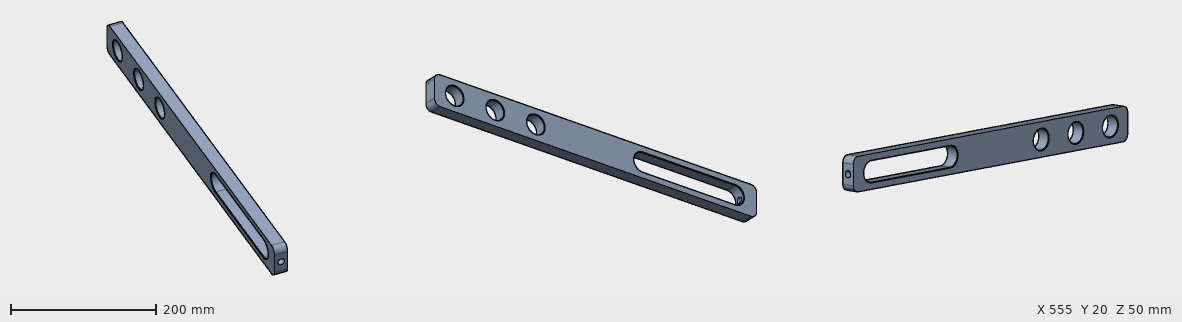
import cadquery as cq

length = 555.0
thickness = 20.0
height = 50.0
corner_radius = 10.0

hole_diameter = 30.0
hole_count = 3
first_hole_offset = 35.0
hole_pitch = 70.0

slot_width = hole_diameter
slot_length = 188.5
slot_end_margin = 22.0

rim_chamfer = 1.0

end_hole_diameter = 10.0

right_end = length / 2
slot_right = right_end - slot_end_margin
slot_center = slot_right - slot_length / 2


def make_bar():
    bar = cq.Workplane("XY").box(length, thickness, height)
    return bar.edges("|Y").fillet(corner_radius)


def make_round_holes():
    centers = [(-length / 2 + first_hole_offset + i * hole_pitch, 0) for i in range(hole_count)]
    profile = cq.Workplane("XZ").pushPoints(centers).circle(hole_diameter / 2)
    return profile.extrude(thickness / 2, both=True)


def make_slot():
    profile = cq.Workplane("XZ").center(slot_center, 0).slot2D(slot_length, slot_width)
    return profile.extrude(thickness / 2, both=True)


def chamfer_rims(bar):
    rims = [
        edge
        for face in bar.faces("<Y or >Y").vals()
        for wire in face.innerWires()
        for edge in wire.Edges()
    ]
    return bar.newObject(rims).chamfer(rim_chamfer)


def make_end_hole():
    start = slot_right - slot_width / 2
    profile = cq.Workplane("YZ", origin=(start, 0, 0)).circle(end_hole_diameter / 2)
    return profile.extrude(right_end - start)


pierced_bar = make_bar().cut(make_round_holes()).cut(make_slot())
result = chamfer_rims(pierced_bar).cut(make_end_hole())